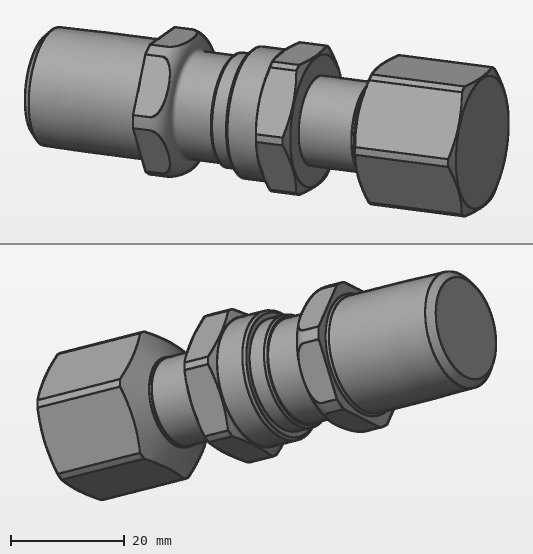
import cadquery as cq
import math


across_flats = 24.0
nut_corner_radius = 13.5
nut_face_radius = 11.8
nut_bevel_length = 0.75

thread_start_radius = 10.55
thread_chamfer = 1.3
thread_end_x = 10.0
shank_radius = 21.35 / 2
body_hex_start_x = 22.4
shank_flare = 0.4
body_hex_corner_radius = 13.2
body_hex_round = 2.9
body_hex_end_x = 28.5
neck_radius = 19.2 / 2
neck_fillet = body_hex_corner_radius - body_hex_round - neck_radius

collar_start_x = 35.9
collar_radius = 20.5 / 2
collar_chamfer = 0.4

clamp_start_x = 39.4
sleeve_radius = 23.5 / 2
sleeve_chamfer = 0.5
clamp_hex_start_x = 45.4
clamp_end_x = 52.0

tube_radius = 16.1 / 2

end_nut_start_x = 62.1
end_nut_neck_radius = 16.3 / 2
shoulder_start_x = 62.6
shoulder_end_x = 65.1
end_nut_end_x = 83.7


def cylinder(radius, start_x, end_x):
    """Solid cylinder on the X axis."""
    return cq.Workplane("YZ", origin=(start_x, 0, 0)).circle(radius).extrude(end_x - start_x)


def hexagon(start_x, end_x):
    """Hexagonal prism on the X axis with its corners on the Y axis."""
    across_corners = across_flats / math.cos(math.pi / 6)
    return cq.Workplane("YZ", origin=(start_x, 0, 0)).polygon(6, across_corners).extrude(end_x - start_x)


def revolve_about_x(profile):
    """Solid of revolution from a closed profile of (x, radius)."""
    return profile.close().revolve(360, (0, 0, 0), (1, 0, 0))


def make_body():
    shank = revolve_about_x(
        cq.Workplane("XY")
        .lineTo(0, thread_start_radius - thread_chamfer)
        .lineTo(thread_chamfer, thread_start_radius)
        .lineTo(thread_end_x, shank_radius)
        .lineTo(body_hex_start_x - shank_flare, shank_radius)
        .lineTo(body_hex_start_x, shank_radius + shank_flare)
        .lineTo(body_hex_start_x, 0)
    )
    hex_envelope = revolve_about_x(
        cq.Workplane("XY")
        .moveTo(body_hex_start_x, 0)
        .lineTo(body_hex_start_x, body_hex_corner_radius)
        .lineTo(body_hex_end_x - body_hex_round, body_hex_corner_radius)
        .radiusArc((body_hex_end_x, body_hex_corner_radius - body_hex_round), body_hex_round)
        .lineTo(body_hex_end_x, 0)
    )
    neck = revolve_about_x(
        cq.Workplane("XY")
        .moveTo(body_hex_end_x, 0)
        .lineTo(body_hex_end_x, neck_radius + neck_fillet)
        .radiusArc((body_hex_end_x + neck_fillet, neck_radius), -neck_fillet)
        .lineTo(collar_start_x, neck_radius)
        .lineTo(collar_start_x, 0)
    )
    hex_section = hexagon(body_hex_start_x, body_hex_end_x).intersect(hex_envelope)
    return shank.union(hex_section).union(neck)


def make_collar():
    return cylinder(collar_radius, collar_start_x, clamp_start_x).faces("<X").chamfer(collar_chamfer)


def make_clamp_nut():
    sleeve = cylinder(sleeve_radius, clamp_start_x, clamp_hex_start_x).faces("<X").chamfer(sleeve_chamfer)
    hex_envelope = revolve_about_x(
        cq.Workplane("XY")
        .moveTo(clamp_hex_start_x, 0)
        .lineTo(clamp_hex_start_x, nut_face_radius)
        .lineTo(clamp_hex_start_x + nut_bevel_length, nut_corner_radius)
        .lineTo(clamp_end_x - nut_bevel_length, nut_corner_radius)
        .lineTo(clamp_end_x, nut_face_radius)
        .lineTo(clamp_end_x, 0)
    )
    return sleeve.union(hexagon(clamp_hex_start_x, clamp_end_x).intersect(hex_envelope))


def make_tube():
    return cylinder(tube_radius, clamp_end_x, end_nut_start_x)


def make_end_nut():
    envelope = revolve_about_x(
        cq.Workplane("XY")
        .moveTo(end_nut_start_x, 0)
        .lineTo(end_nut_start_x, end_nut_neck_radius)
        .lineTo(shoulder_start_x, end_nut_neck_radius)
        .lineTo(shoulder_end_x, nut_corner_radius)
        .lineTo(end_nut_end_x - nut_bevel_length, nut_corner_radius)
        .lineTo(end_nut_end_x, nut_face_radius)
        .lineTo(end_nut_end_x, 0)
    )
    return hexagon(end_nut_start_x, end_nut_end_x).intersect(envelope)


body = make_body()
collar = make_collar()
clamp_nut = make_clamp_nut()
tube = make_tube()
end_nut = make_end_nut()

result = cq.Compound.makeCompound(
    [body.val(), collar.val(), clamp_nut.val(), tube.val(), end_nut.val()]
)